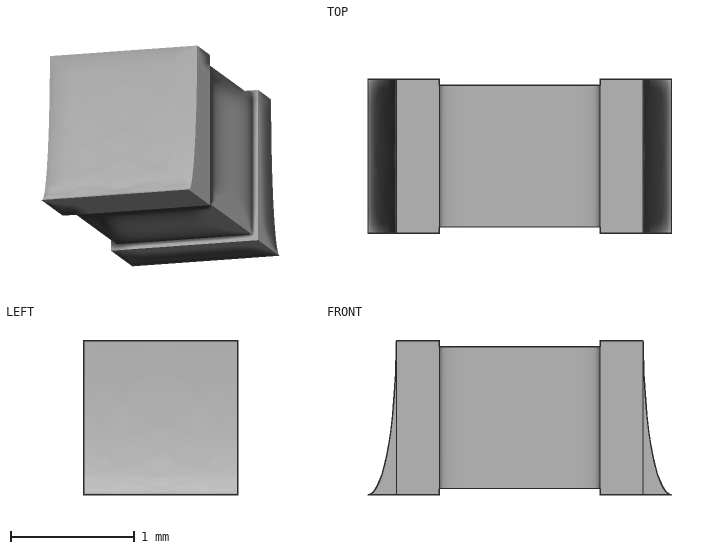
import cadquery as cq

chip_length = 2.0
cap_thickness = 0.35
cap_size = 1.25
cap_lip = 0.05
fillet_reach = 0.23

ceramic_length = chip_length - 2 * cap_thickness
ceramic_size = cap_size - 2 * cap_lip
cap_face_x = chip_length / 2


def make_ceramic():
    """Plain block between the inner faces of the caps."""
    return (
        cq.Workplane("XY")
        .box(ceramic_length, ceramic_size, ceramic_size)
        .translate((0, 0, cap_size / 2))
    )


def make_cap(side):
    """Square end plate; side is -1 or +1 along X."""
    cap_center_x = side * (cap_face_x - cap_thickness / 2)
    return (
        cq.Workplane("XY")
        .box(cap_thickness, cap_size, cap_size)
        .translate((cap_center_x, 0, cap_size / 2))
    )


def make_solder_fillet(side):
    """Wedge on the outer cap face with a concave quarter-ellipse slope."""
    face_x = side * cap_face_x
    toe_x = side * (cap_face_x + fillet_reach)
    slope = cq.Edge.makeEllipse(
        cap_size,
        fillet_reach,
        pnt=cq.Vector(toe_x, -cap_size / 2, cap_size),
        dir=cq.Vector(0, side, 0),
        xdir=cq.Vector(0, 0, -1),
        angle1=0,
        angle2=90,
    )
    top = cq.Vector(face_x, -cap_size / 2, cap_size)
    corner = cq.Vector(face_x, -cap_size / 2, 0)
    toe = cq.Vector(toe_x, -cap_size / 2, 0)
    outline = cq.Wire.assembleEdges(
        [slope, cq.Edge.makeLine(top, corner), cq.Edge.makeLine(corner, toe)]
    )
    solid = cq.Solid.extrudeLinear(outline, [], cq.Vector(0, cap_size, 0))
    return cq.Workplane("XY").newObject([solid])


ceramic = make_ceramic()
bodies = [ceramic.val()]
for end in (-1, 1):
    bodies.append(make_cap(end).val())
    bodies.append(make_solder_fillet(end).val())

result = cq.Compound.makeCompound(bodies)